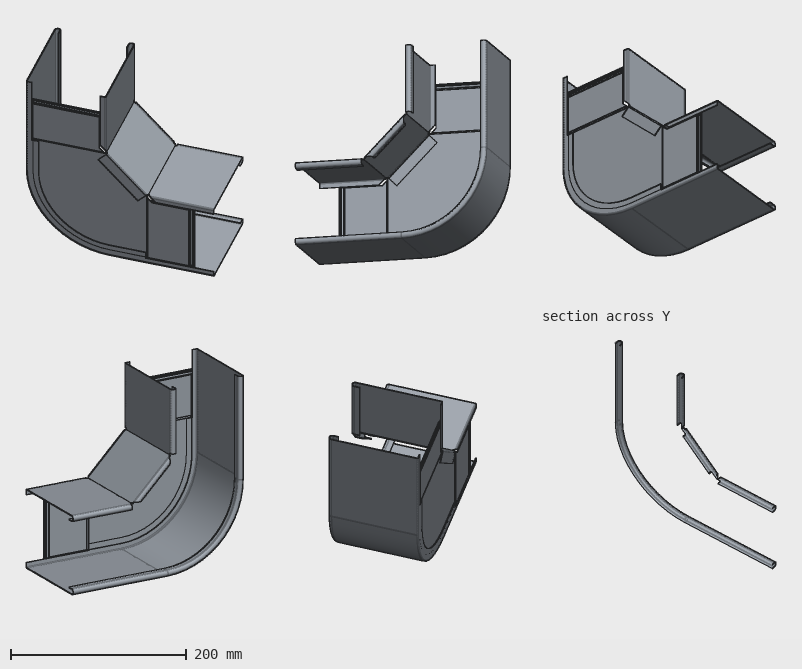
import cadquery as cq
import math


ROOT2 = math.sqrt(2)

SIZE = 225.0
DEPTH = 107.0
LEG_WIDTH = 95.8
SHEET = 1.1

BEND_RADIUS = 1.5
FLANGE_WIDTH = 7.0
HEM_WIDTH = 7.5
HEM_LENGTH = 10.1
BEND_INNER_RADIUS = BEND_RADIUS - SHEET
HEM_RADIUS = HEM_WIDTH / 2
HEM_START = DEPTH - HEM_RADIUS
HEM_TIP = DEPTH - HEM_LENGTH

ELBOW_RADIUS = 100.1
OVERLAP_WIDTH = 15.0
OVERLAP_END = 143.0

CORNER = 145.5
DIAGONAL_SUM = LEG_WIDTH + CORNER
TAB_WIDTH = 14.8
TAB_END_GAP = 1.5
DIAGONAL_HEM_GAP = 1.5
MITRE_GAP = 1.8
RELIEF_RADIUS = 1.1
RELIEF_SHIFT = 0.5
RELIEF_CENTER = CORNER + RELIEF_SHIFT
LEG_EDGE_LENGTH = SIZE - RELIEF_CENTER - RELIEF_RADIUS

PLATE_EDGE = 8.0
TONGUE_SIDE = 87.8
TONGUE_END = 202.0
PLATE_DIAGONAL_GAP = 1.8
JOGGLE_START = 144.0
JOGGLE_END = 145.8
GROOVE_START = 195.0
GROOVE_FLANK = 1.4
GROOVE_FLANK_DEPTH = 1.0
GROOVE_ARC_WIDTH = 3.0
GROOVE_DEPTH = 1.91


def mirrored(shape):
    """Copy of a shape reflected in the plane X = Z."""
    return shape.mirror(cq.Vector(1, 0, -1), (0, 0, 0))


def prism(points, y_start, y_end):
    """Prism with a polygon of (X, Z) points, between two Y levels."""
    base = cq.Workplane("XZ", origin=(0, y_start, 0))
    return base.polyline(points).close().extrude(y_start - y_end)


def elbow_arc_middle(inset):
    """X and Z of the middle of the elbow arc, at an inset from the outer face."""
    return ELBOW_RADIUS - (ELBOW_RADIUS - inset) / ROOT2


def flange_section(plane, width):
    """Front flange and the bend that joins it to the wall."""
    outer_middle = BEND_RADIUS - BEND_RADIUS / ROOT2
    inner_middle = BEND_RADIUS - BEND_INNER_RADIUS / ROOT2
    return (
        cq.Workplane(plane)
        .moveTo(width, 0)
        .lineTo(BEND_RADIUS, 0)
        .threePointArc((outer_middle, outer_middle), (0, BEND_RADIUS))
        .lineTo(SHEET, BEND_RADIUS)
        .threePointArc((inner_middle, inner_middle), (BEND_RADIUS, SHEET))
        .lineTo(width, SHEET)
        .close()
    )


def wall_section(plane):
    """Flat of the wall between the front bend and the back hem."""
    return (
        cq.Workplane(plane)
        .moveTo(0, BEND_RADIUS)
        .lineTo(0, HEM_START)
        .lineTo(SHEET, HEM_START)
        .lineTo(SHEET, BEND_RADIUS)
        .close()
    )


def hem_section(plane):
    """U-shaped hem along the back edge."""
    inner_face = HEM_WIDTH - SHEET
    return (
        cq.Workplane(plane)
        .moveTo(0, HEM_START)
        .threePointArc((HEM_RADIUS, DEPTH), (HEM_WIDTH, HEM_START))
        .lineTo(HEM_WIDTH, HEM_TIP)
        .lineTo(inner_face, HEM_TIP)
        .lineTo(inner_face, HEM_START)
        .threePointArc((HEM_RADIUS, DEPTH - SHEET), (SHEET, HEM_START))
        .close()
    )


def overlap_strip():
    """Wider front flange round the elbow, which covers the edge of the front plate."""
    outer_middle = elbow_arc_middle(BEND_RADIUS)
    inner_middle = elbow_arc_middle(OVERLAP_WIDTH)
    return (
        cq.Workplane("XZ")
        .moveTo(BEND_RADIUS, OVERLAP_END)
        .lineTo(BEND_RADIUS, ELBOW_RADIUS)
        .threePointArc((outer_middle, outer_middle), (ELBOW_RADIUS, BEND_RADIUS))
        .lineTo(OVERLAP_END, BEND_RADIUS)
        .lineTo(OVERLAP_END, OVERLAP_WIDTH)
        .lineTo(ELBOW_RADIUS, OVERLAP_WIDTH)
        .threePointArc((inner_middle, inner_middle), (OVERLAP_WIDTH, ELBOW_RADIUS))
        .lineTo(OVERLAP_WIDTH, OVERLAP_END)
        .close()
        .extrude(-SHEET)
    )


def make_outer_wall():
    elbow_start = cq.Plane(origin=(0, 0, ELBOW_RADIUS), xDir=(1, 0, 0), normal=(0, 0, 1))
    straight = SIZE - ELBOW_RADIUS
    axis = ((ELBOW_RADIUS, 2.2), (ELBOW_RADIUS, 0))
    leg = (
        wall_section(elbow_start).extrude(straight)
        .union(flange_section(elbow_start, FLANGE_WIDTH).extrude(straight))
        .union(hem_section(elbow_start).extrude(straight))
    )
    elbow = (
        wall_section(elbow_start).revolve(90, *axis)
        .union(flange_section(elbow_start, FLANGE_WIDTH).revolve(90, *axis))
        .union(hem_section(elbow_start).revolve(90, *axis))
    )
    return leg.union(elbow).union(mirrored(leg)).union(overlap_strip())


def inner_wall_flats():
    """Flats of both legs and the diagonal, without their bent edges."""
    inner_face = LEG_WIDTH - SHEET
    inner_corner = CORNER - SHEET * math.tan(math.radians(22.5))
    points = [
        (LEG_WIDTH, SIZE),
        (LEG_WIDTH, CORNER),
        (CORNER, LEG_WIDTH),
        (SIZE, LEG_WIDTH),
        (SIZE, inner_face),
        (inner_corner, inner_face),
        (inner_face, inner_corner),
        (inner_face, SIZE),
    ]
    return prism(points, BEND_RADIUS, HEM_START)


def corner_relief(edge, tip_center):
    """Round-ended notch through the horizontal leg's corner, from an edge of its flat."""
    height = 4 * SHEET
    base = cq.Workplane("XY", origin=(RELIEF_CENTER, 0, LEG_WIDTH - height / 2))
    tip = base.center(0, tip_center).circle(RELIEF_RADIUS).extrude(height)
    sides = base.center(0, (edge + tip_center) / 2)
    return tip.union(sides.rect(2 * RELIEF_RADIUS, abs(tip_center - edge)).extrude(height))


def leg_edges():
    """Front flange of the vertical leg, mitred along the diagonal, and its back hem."""
    leg_end = cq.Plane(origin=(LEG_WIDTH, 0, SIZE), xDir=(-1, 0, 0), normal=(0, 0, -1))
    limit = DIAGONAL_SUM + MITRE_GAP * ROOT2
    mitre = prism([(0, 0), (limit, 0), (0, limit)], 0, BEND_RADIUS)
    flange = flange_section(leg_end, FLANGE_WIDTH).extrude(LEG_EDGE_LENGTH).cut(mitre)
    return [flange, hem_section(leg_end).extrude(LEG_EDGE_LENGTH)]


def diagonal_section_plane(end_gap):
    """Section plane across the diagonal, at a distance from its upper corner."""
    shift = end_gap / ROOT2
    origin = (LEG_WIDTH + shift, 0, CORNER - shift)
    return cq.Plane(origin=origin, xDir=(-1, 0, -1), normal=(1, 0, -1))


def diagonal_edges():
    """Front tab of the diagonal, and its back hem cut clear of both legs."""
    diagonal_length = (CORNER - LEG_WIDTH) * ROOT2
    tab = flange_section(diagonal_section_plane(TAB_END_GAP), TAB_WIDTH)
    tab = tab.extrude(diagonal_length - 2 * TAB_END_GAP)

    low = LEG_WIDTH + DIAGONAL_HEM_GAP
    clear_of_legs = prism([(low, low), (CORNER, low), (low, CORNER)], 0, DEPTH)
    hem = hem_section(diagonal_section_plane(0)).extrude(diagonal_length)
    return [tab, hem.intersect(clear_of_legs)]


def make_inner_wall():
    wall = inner_wall_flats()
    for edge, tip_center in (
        (BEND_RADIUS, BEND_RADIUS + RELIEF_RADIUS),
        (HEM_START, HEM_START - RELIEF_RADIUS),
    ):
        relief = corner_relief(edge, tip_center)
        wall = wall.cut(relief).cut(mirrored(relief))
    for edge in leg_edges():
        wall = wall.union(edge).union(mirrored(edge))
    for edge in diagonal_edges():
        wall = wall.union(edge)
    return wall


def plate_outline():
    """Outline of the plate and both tongues, as a prism through the full depth."""
    arc_middle = elbow_arc_middle(PLATE_EDGE)
    diagonal_end = DIAGONAL_SUM - PLATE_DIAGONAL_GAP * ROOT2 - TONGUE_SIDE
    return (
        cq.Workplane("XZ")
        .moveTo(PLATE_EDGE, TONGUE_END)
        .lineTo(PLATE_EDGE, ELBOW_RADIUS)
        .threePointArc((arc_middle, arc_middle), (ELBOW_RADIUS, PLATE_EDGE))
        .lineTo(TONGUE_END, PLATE_EDGE)
        .lineTo(TONGUE_END, TONGUE_SIDE)
        .lineTo(diagonal_end, TONGUE_SIDE)
        .lineTo(TONGUE_SIDE, diagonal_end)
        .lineTo(TONGUE_SIDE, TONGUE_END)
        .close()
        .extrude(-DEPTH)
    )


def tongue_sheet():
    """Sheet of the upper tongue: a joggle to the front, a cross groove and a flat lip."""
    arc_start = GROOVE_START + GROOVE_FLANK
    arc_end = arc_start + GROOVE_ARC_WIDTH
    arc_middle = (arc_start + arc_end) / 2
    groove_end = arc_end + GROOVE_FLANK
    back_flank = SHEET + GROOVE_FLANK_DEPTH
    return (
        cq.Workplane("YZ")
        .moveTo(SHEET, JOGGLE_START)
        .lineTo(0, JOGGLE_END)
        .lineTo(0, GROOVE_START)
        .lineTo(GROOVE_FLANK_DEPTH, arc_start)
        .threePointArc((GROOVE_DEPTH, arc_middle), (GROOVE_FLANK_DEPTH, arc_end))
        .lineTo(0, groove_end)
        .lineTo(0, TONGUE_END)
        .lineTo(SHEET, TONGUE_END)
        .lineTo(SHEET, groove_end)
        .lineTo(back_flank, arc_end)
        .threePointArc((SHEET + GROOVE_DEPTH, arc_middle), (back_flank, arc_start))
        .lineTo(SHEET, GROOVE_START)
        .lineTo(SHEET, JOGGLE_END)
        .lineTo(2 * SHEET, JOGGLE_START)
        .close()
        .extrude(LEG_WIDTH)
    )


def make_front_plate():
    center_square = [(0, 0), (JOGGLE_START, 0), (JOGGLE_START, JOGGLE_START), (0, JOGGLE_START)]
    center = prism(center_square, SHEET, 2 * SHEET)
    tongue = tongue_sheet()
    return plate_outline().intersect(center.union(tongue).union(mirrored(tongue)))


outer_wall = make_outer_wall().solids()
inner_wall = make_inner_wall().solids()
front_plate = make_front_plate().solids()

result = cq.Compound.makeCompound([outer_wall.val(), inner_wall.val(), front_plate.val()])